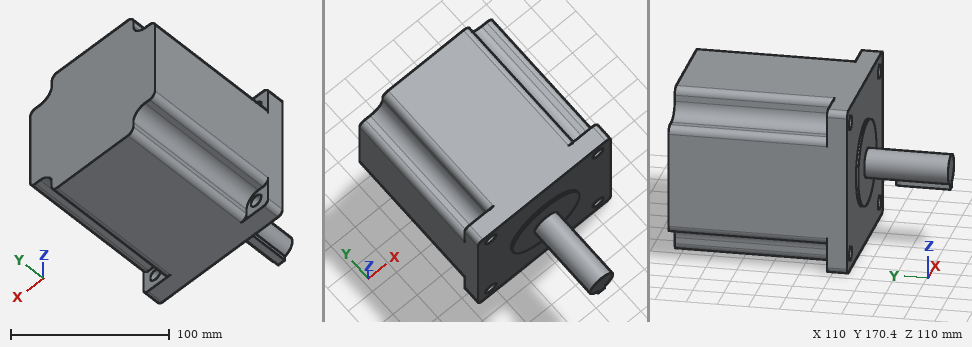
import cadquery as cq

overall_length = 170.4
square_side = 110.0
body_length = 102.0
flange_thickness = 13.0
flange_corner_radius = 4.1

pilot_diameter = 55.5
pilot_height = 1.5
shaft_diameter = 19.0

hole_spacing = 88.8
hole_diameter = 9.0

groove_edge_radius = 4.8
groove_flat_length = 4.1
groove_radius = 10.2

key_width = 6.0
key_length = 35.3
key_outer_height = 12.8

half_side = square_side / 2
groove_center = groove_edge_radius + groove_flat_length
groove_wall = groove_center + groove_radius
shaft_length = overall_length - body_length - flange_thickness


def make_body():
    """Square motor housing with a rounded groove along each corner."""
    block = (
        cq.Workplane("XZ", origin=(0, flange_thickness, 0))
        .rect(square_side, square_side)
        .extrude(-body_length)
    )
    for x_side in (-1, 1):
        for z_side in (-1, 1):
            notch = (
                cq.Workplane("XZ", origin=(x_side * half_side, flange_thickness, z_side * half_side))
                .rect(2 * groove_wall, 2 * groove_wall)
                .extrude(-body_length)
            )
            inner_edge = f"|Y and ({'<' if x_side > 0 else '>'}X and {'<' if z_side > 0 else '>'}Z)"
            block = block.cut(notch.edges(inner_edge).fillet(groove_radius))
    lip = half_side - groove_wall
    tolerance = 0.2
    for sign in (-1, 1):
        for x, z in ((lip, half_side), (-lip, half_side), (half_side, lip), (half_side, -lip)):
            block = block.edges(
                cq.selectors.BoxSelector(
                    (sign * x - tolerance, 0, sign * z - tolerance),
                    (sign * x + tolerance, overall_length, sign * z + tolerance),
                )
            ).fillet(groove_edge_radius)
    return block


def make_flange():
    """Square mounting plate with rounded corners and four through holes."""
    plate = (
        cq.Workplane("XZ")
        .rect(square_side, square_side)
        .extrude(-flange_thickness)
        .edges("|Y")
        .fillet(flange_corner_radius)
    )
    holes = (
        cq.Workplane("XZ")
        .rect(hole_spacing, hole_spacing, forConstruction=True)
        .vertices()
        .circle(hole_diameter / 2)
        .extrude(-flange_thickness)
    )
    return plate.cut(holes)


def make_shaft():
    """Pilot disc and output shaft."""
    pilot = cq.Workplane("XZ").circle(pilot_diameter / 2).extrude(pilot_height)
    shaft = cq.Workplane("XZ").circle(shaft_diameter / 2).extrude(shaft_length)
    return pilot.union(shaft)


def make_key():
    """Key under the shaft: square at the shaft end, round at the inner end."""
    half_width = key_width / 2
    inner_y = key_length - shaft_length
    return (
        cq.Workplane("XY")
        .moveTo(-half_width, -shaft_length)
        .lineTo(half_width, -shaft_length)
        .lineTo(half_width, inner_y - half_width)
        .threePointArc((0, inner_y), (-half_width, inner_y - half_width))
        .close()
        .extrude(-key_outer_height)
    )


result = make_body().union(make_flange()).union(make_shaft()).union(make_key())